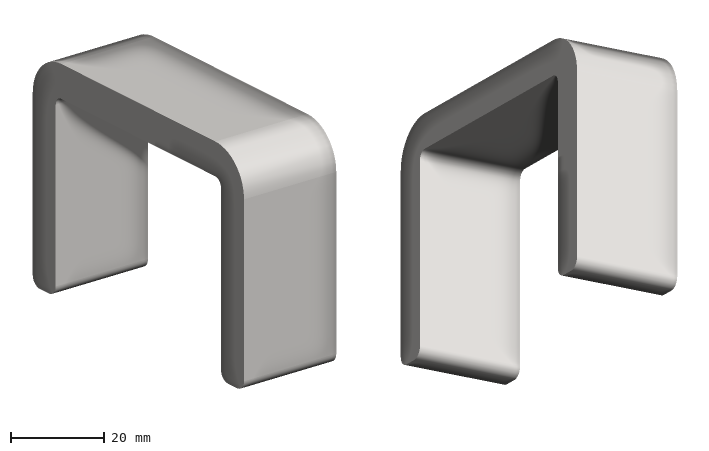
import cadquery as cq

width = 74.5
depth = 25.0
height = 55.0

wall = 8.1
outer_radius = 10.1
inner_radius = outer_radius - wall
tip_radius = 2.45

outer_block = (
    cq.Workplane("XY")
    .box(width, depth, height, centered=(True, True, False))
    .edges("|Y and >Z")
    .fillet(outer_radius)
)

opening = (
    cq.Workplane("XY")
    .box(width - 2 * wall, depth, height - wall, centered=(True, True, False))
    .edges("|Y and >Z")
    .fillet(inner_radius)
)

bracket = outer_block.cut(opening)

result = bracket.faces("<Z").edges("|Y").fillet(tip_radius)